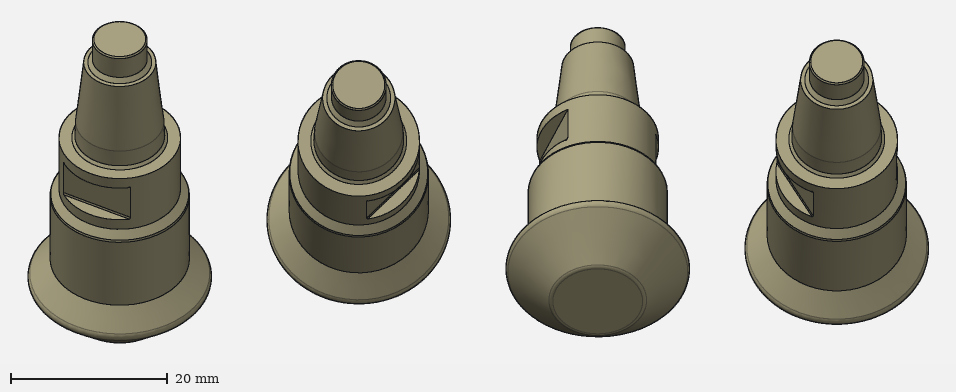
import cadquery as cq
import math

TOTAL_HEIGHT = 47

SLEEVE_RADIUS = 17.75 / 2
SLEEVE_TOP = 20.0
SLEEVE_BREAK = 0.1
SLEEVE_BREAK_HEIGHT = 0.3

KNOB_RADIUS = 11.7
KNOB_HEIGHT = 9.15
RIM_ROUND = 0.8
RIM_CORNER_RADIUS = KNOB_RADIUS + RIM_ROUND * (math.sqrt(2) - 1)
RIM_LEVEL = KNOB_HEIGHT - (RIM_CORNER_RADIUS - SLEEVE_RADIUS)
KNOB_BASE_RADIUS = RIM_CORNER_RADIUS - RIM_LEVEL
BASE_ROUND = 0.7

COLLAR_RADIUS = 15.5 / 2
COLLAR_BOTTOM = 21.25
COLLAR_TOP = 30.0
FLAT_DISTANCE = 6.0
FLAT_BOTTOM = 22.9
FLAT_TOP = 28.35
FLAT_BEVEL_HEIGHT = 0.3
FLAT_BEVEL_DEPTH = 0.1
CUT_CLEARANCE = 0.45

NOSE_FOOT_RADIUS = 6.1
NOSE_FOOT_HEIGHT = 0.38
NOSE_RADIUS = 5.75
TAPER_START_RADIUS = 5.65
TAPER_START = 32.8
NOSE_TOP_RADIUS = 4.6
NOSE_TOP = 43.0

TIP_RADIUS = 7.0 / 2
TIP_FOOT = 0.55
TIP_CHAMFER = 0.2


def make_knob():
    """Mushroom knob with a rounded rim and a flat base."""
    profile = (
        cq.Workplane("XZ")
        .polyline([
            (0, 0),
            (KNOB_BASE_RADIUS, 0),
            (RIM_CORNER_RADIUS, RIM_LEVEL),
            (SLEEVE_RADIUS, KNOB_HEIGHT),
            (0, KNOB_HEIGHT),
        ])
        .close()
    )
    knob = profile.revolve(360, (0, 0), (0, 1))
    knob = knob.edges("<Z").fillet(BASE_ROUND)
    rim_box = cq.selectors.BoxSelector(
        (-RIM_CORNER_RADIUS, -RIM_CORNER_RADIUS, RIM_LEVEL - RIM_ROUND),
        (RIM_CORNER_RADIUS, RIM_CORNER_RADIUS, RIM_LEVEL + RIM_ROUND),
    )
    return knob.edges("%CIRCLE").edges(rim_box).fillet(RIM_ROUND)


def make_plunger():
    """Stepped plunger before its flats are cut: sleeve, collar, tapered nose and tip."""
    profile = (
        cq.Workplane("XZ")
        .polyline([
            (0, KNOB_HEIGHT),
            (SLEEVE_RADIUS, KNOB_HEIGHT),
            (SLEEVE_RADIUS, SLEEVE_TOP),
            (SLEEVE_RADIUS - SLEEVE_BREAK, SLEEVE_TOP + SLEEVE_BREAK_HEIGHT),
            (COLLAR_RADIUS, COLLAR_BOTTOM),
            (COLLAR_RADIUS, COLLAR_TOP),
            (NOSE_FOOT_RADIUS, COLLAR_TOP),
            (NOSE_RADIUS, COLLAR_TOP + NOSE_FOOT_HEIGHT),
            (TAPER_START_RADIUS, TAPER_START),
            (NOSE_TOP_RADIUS, NOSE_TOP),
            (TIP_RADIUS + TIP_FOOT, NOSE_TOP),
            (TIP_RADIUS, NOSE_TOP + TIP_FOOT),
            (TIP_RADIUS, TOTAL_HEIGHT - TIP_CHAMFER),
            (TIP_RADIUS - TIP_CHAMFER, TOTAL_HEIGHT),
            (0, TOTAL_HEIGHT),
        ])
        .close()
    )
    return profile.revolve(360, (0, 0), (0, 1))


def make_flat_cutter(side):
    """Material removed for one wrench flat; side is -1 or 1 along Y."""
    inner = side * FLAT_DISTANCE
    bevel_foot = side * (FLAT_DISTANCE + FLAT_BEVEL_DEPTH)
    outer = side * (COLLAR_RADIUS + CUT_CLEARANCE)
    return (
        cq.Workplane("YZ")
        .polyline([
            (outer, FLAT_BOTTOM),
            (bevel_foot, FLAT_BOTTOM),
            (inner, FLAT_BOTTOM + FLAT_BEVEL_HEIGHT),
            (inner, FLAT_TOP),
            (outer, FLAT_TOP),
        ])
        .close()
        .extrude(COLLAR_RADIUS, both=True)
    )


knob = make_knob()
plunger = make_plunger()
for side in (-1, 1):
    plunger = plunger.cut(make_flat_cutter(side))

result = cq.Compound.makeCompound([knob.val(), plunger.val()])